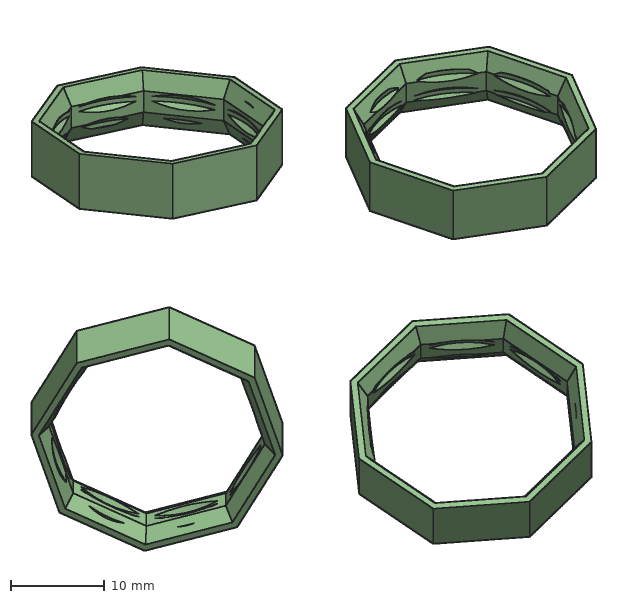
import cadquery as cq
import math

SIDES = 8
ACROSS_FLATS = 25.0
HEIGHT = 6.4
RIM_WIDTH = 0.75
WALL = 1.78
FLAT_HEIGHT = 2.48

PITCH = 2.5
ROOT_RADIUS = 11.28
ROOT_WIDTH = 0.55
FLANK_ANGLE = 45.0
TOOL_DEPTH = 0.75
TURNS = 3
MID_HEIGHT_ANGLE = 45.0

OUTER_APOTHEM = ACROSS_FLATS / 2
RIM_APOTHEM = OUTER_APOTHEM - RIM_WIDTH
BORE_APOTHEM = OUTER_APOTHEM - WALL
TAPER_HEIGHT = (HEIGHT - FLAT_HEIGHT) / 2


def octagon_points(apothem):
    """Corners of an octagon whose flats face the X and Y axes."""
    radius = apothem / math.cos(math.pi / SIDES)
    angles = [(i + 0.5) * 2 * math.pi / SIDES for i in range(SIDES)]
    return [(radius * math.cos(a), radius * math.sin(a)) for a in angles]


def octagon_prism(apothem, height):
    """Straight octagonal prism centred on the origin."""
    base = cq.Workplane("XY").workplane(offset=-height / 2)
    return base.polyline(octagon_points(apothem)).close().extrude(height)


def bore_taper():
    """Upper end of the bore, widening from the middle band to the rim."""
    return (
        cq.Workplane("XY")
        .workplane(offset=FLAT_HEIGHT / 2)
        .polyline(octagon_points(BORE_APOTHEM)).close()
        .workplane(offset=TAPER_HEIGHT)
        .polyline(octagon_points(RIM_APOTHEM)).close()
        .loft(ruled=True)
    )


def thread_cutter():
    """Trapezoidal helix that is at mid height in the MID_HEIGHT_ANGLE direction."""
    length = TURNS * PITCH
    tool_radius = ROOT_RADIUS - TOOL_DEPTH
    root_half = ROOT_WIDTH / 2
    tool_half = root_half + TOOL_DEPTH * math.tan(math.radians(FLANK_ANGLE))
    profile = [
        (tool_radius, -tool_half),
        (ROOT_RADIUS, -root_half),
        (ROOT_RADIUS, root_half),
        (tool_radius, tool_half),
    ]
    helix = cq.Wire.makeHelix(PITCH, length, tool_radius)
    cutter = cq.Workplane("XZ").polyline(profile).close().sweep(cq.Workplane(helix), isFrenet=True)

    start_angle = MID_HEIGHT_ANGLE - 360 * TURNS / 2
    return cutter.rotate((0, 0, 0), (0, 0, 1), start_angle).translate((0, 0, -length / 2))


ring = octagon_prism(OUTER_APOTHEM, HEIGHT)
ring = ring.cut(octagon_prism(BORE_APOTHEM, HEIGHT))
upper_taper = bore_taper()
ring = ring.cut(upper_taper).cut(upper_taper.mirror("XY"))

result = ring.cut(thread_cutter())